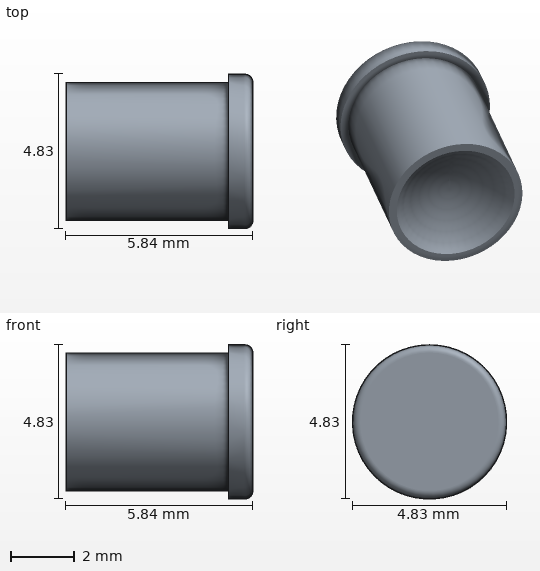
import cadquery as cq
import math

length = 5.84
body_diameter = 4.315
flange_diameter = 4.83
flange_thickness = 0.765
flange_rounding = 0.25
dish_diameter = 3.81
dish_sphere_radius = 2.715

body_radius = body_diameter / 2
flange_radius = flange_diameter / 2
dish_radius = dish_diameter / 2
front_x = -length / 2
back_x = length / 2
flange_x = back_x - flange_thickness

centre_x = front_x - math.sqrt(dish_sphere_radius**2 - dish_radius**2)
dish_bottom_x = centre_x + dish_sphere_radius
half_angle = math.asin(dish_radius / dish_sphere_radius) / 2
dish_middle = (
    centre_x + dish_sphere_radius * math.cos(half_angle),
    dish_sphere_radius * math.sin(half_angle),
)

rounding_middle = (
    back_x - flange_rounding * (1 - math.cos(math.pi / 4)),
    flange_radius - flange_rounding * (1 - math.sin(math.pi / 4)),
)

half_section = (
    cq.Workplane("XZ")
    .moveTo(dish_bottom_x, 0)
    .threePointArc(dish_middle, (front_x, dish_radius))
    .lineTo(front_x, body_radius)
    .lineTo(flange_x, body_radius)
    .lineTo(flange_x, flange_radius)
    .lineTo(back_x - flange_rounding, flange_radius)
    .threePointArc(rounding_middle, (back_x, flange_radius - flange_rounding))
    .lineTo(back_x, 0)
    .close()
)

result = half_section.revolve(360, (0, 0, 0), (1, 0, 0))